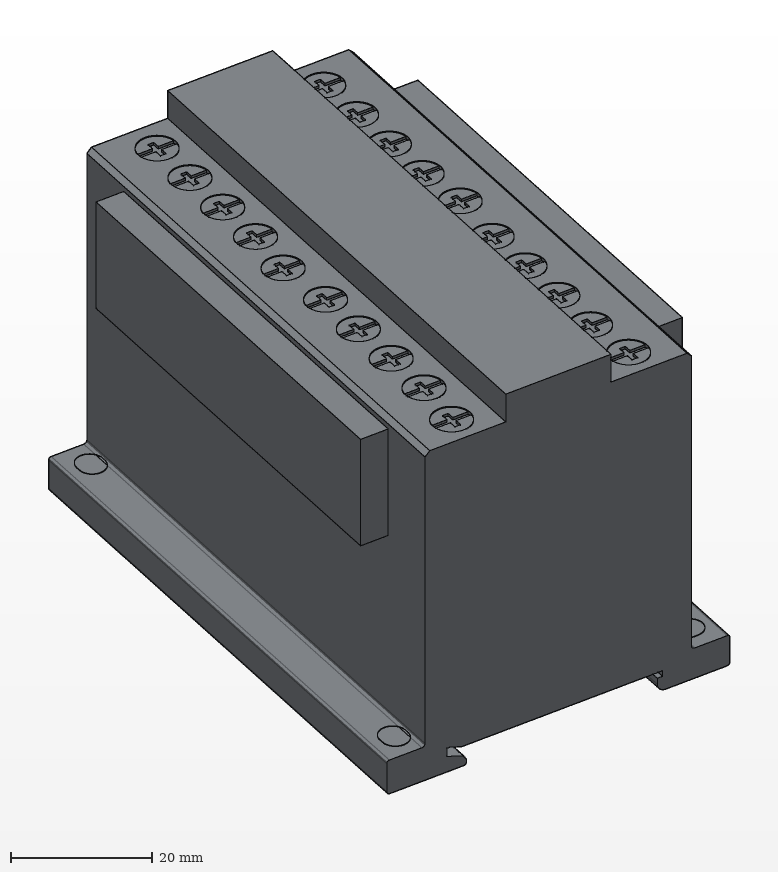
import cadquery as cq

LENGTH = 88.0
HEIGHT = 62.0
FOOT_WIDTH = 58.0
BODY_WIDTH = 45.1
BODY_TOP = 57.2
BODY_BOTTOM = 3.4
RIDGE_WIDTH = 17.8
TOP_EDGE_CHAMFER = 0.8

FRONT_FOOT_HEIGHT = 5.9
BACK_FOOT_HEIGHT = 5.3
FOOT_ROOT_RADIUS = 0.5
FOOT_EDGE_RADIUS = 0.4
FOOT_BOTTOM_RADIUS = 0.5

HOOK_WALL_Y = 17.6
HOOK_TIP_Y = 16.7
HOOK_TOP = 2.5
HOOK_TIP_RADIUS = 1.4

NOTCH_MOUTH_Y = -16.4
NOTCH_PEAK_Y = -18.3
NOTCH_WALL_Y = -18.8
NOTCH_TOP = 4.1
NOTCH_BOTTOM = 2.7
LATCH_SHOULDER_Y = -16.0
LATCH_SHOULDER_Z = 1.8
LATCH_TIP_Y = -15.5
LATCH_TIP_Z = 0.9

COVER_LENGTH = 68.8
COVER_THICKNESS = 4.7
COVER_BOTTOM = 37.0
COVER_TOP = 55.5

SCREWS_PER_GROUP = 5
SCREW_PITCH = 8.5
GROUP_STARTS = (-38.7, 5.1)
SCREW_ROW_Y = 14.1
LAST_SCREW_SHIFT = 0.9
SCREW_DIAMETER = 6.25
SCREW_RECESS_DEPTH = 0.2
SLOT_WIDTH = 0.9
CROSS_SLOT_WIDTH = 1.0
SLOT_DEPTH = 0.4
CROSS_SLOT_LENGTH = 3.3

OBLONG_LENGTH = 5.0
OBLONG_WIDTH = 4.3
OBLONG_X = 39.4
OBLONG_Y = 24.8
OBLONG_DEPTH = 0.1

CENTRE_RECESS_DIAMETER = 2.2
CENTRE_RECESS_Z = 41.0
FOOT_HOLE_Y = 20.7
FOOT_HOLE_Z = 2.0
FOOT_HOLE_DIAMETER = 2.1
FOOT_HOLE_CORE_DIAMETER = 1.2
END_RECESS_DEPTH = 0.1
FOOT_HOLE_CORE_DEPTH = 0.2


def edge_along_x(solid, y, z):
    """Select the edge parallel to X that lies at the given Y and Z."""
    return solid.edges("|X").edges(cq.selectors.NearestToPointSelector((0, y, z)))


def housing_block():
    """Constant cross-section of the housing, extruded along X."""
    foot_y = FOOT_WIDTH / 2
    body_y = BODY_WIDTH / 2
    ridge_y = RIDGE_WIDTH / 2
    outline = [
        (ridge_y, HEIGHT),
        (ridge_y, BODY_TOP),
        (body_y, BODY_TOP),
        (body_y, BACK_FOOT_HEIGHT),
        (foot_y, BACK_FOOT_HEIGHT),
        (foot_y, 0),
        (HOOK_TIP_Y, 0),
        (HOOK_TIP_Y, HOOK_TOP),
        (HOOK_WALL_Y, HOOK_TOP),
        (HOOK_WALL_Y, BODY_BOTTOM),
        (NOTCH_MOUTH_Y, BODY_BOTTOM),
        (NOTCH_PEAK_Y, NOTCH_TOP),
        (NOTCH_WALL_Y, NOTCH_TOP),
        (NOTCH_WALL_Y, NOTCH_BOTTOM),
        (LATCH_SHOULDER_Y, LATCH_SHOULDER_Z),
        (LATCH_TIP_Y, LATCH_TIP_Z),
        (LATCH_TIP_Y, 0),
        (-foot_y, 0),
        (-foot_y, FRONT_FOOT_HEIGHT),
        (-body_y, FRONT_FOOT_HEIGHT),
        (-body_y, BODY_TOP),
        (-ridge_y, BODY_TOP),
        (-ridge_y, HEIGHT),
    ]
    block = cq.Workplane("YZ").polyline(outline).close().extrude(LENGTH / 2, both=True)

    for y in (-body_y, body_y):
        block = edge_along_x(block, y, BODY_TOP).chamfer(TOP_EDGE_CHAMFER)
    rounded_edges = [
        (body_y, BACK_FOOT_HEIGHT, FOOT_ROOT_RADIUS),
        (-body_y, FRONT_FOOT_HEIGHT, FOOT_ROOT_RADIUS),
        (foot_y, BACK_FOOT_HEIGHT, FOOT_EDGE_RADIUS),
        (-foot_y, FRONT_FOOT_HEIGHT, FOOT_EDGE_RADIUS),
        (foot_y, 0, FOOT_BOTTOM_RADIUS),
        (-foot_y, 0, FOOT_BOTTOM_RADIUS),
        (LATCH_TIP_Y, 0, FOOT_BOTTOM_RADIUS),
        (HOOK_TIP_Y, 0, HOOK_TIP_RADIUS),
    ]
    for y, z, radius in rounded_edges:
        block = edge_along_x(block, y, z).fillet(radius)
    return block


def screw_places():
    """Screw centres; the last screw of each group sits further out."""
    places = []
    for side in (-1, 1):
        for start in GROUP_STARTS:
            for index in range(SCREWS_PER_GROUP):
                is_last = index == SCREWS_PER_GROUP - 1
                y = SCREW_ROW_Y + (LAST_SCREW_SHIFT if is_last else 0)
                places.append((start + index * SCREW_PITCH, side * y))
    return places


def cut_screw_heads(solid):
    """Round recess with a full-width slot and a short cross slot in its floor."""
    places = screw_places()
    floor_z = BODY_TOP - SCREW_RECESS_DEPTH
    top = cq.Workplane(origin=(0, 0, BODY_TOP)).pushPoints(places)
    floor = cq.Workplane(origin=(0, 0, floor_z)).pushPoints(places)
    recesses = top.circle(SCREW_DIAMETER / 2).extrude(-SCREW_RECESS_DEPTH)
    disks = floor.circle(SCREW_DIAMETER / 2).extrude(-SLOT_DEPTH)
    long_slots = floor.rect(SLOT_WIDTH, SCREW_DIAMETER).extrude(-SLOT_DEPTH).intersect(disks)
    cross_slots = floor.rect(CROSS_SLOT_LENGTH, CROSS_SLOT_WIDTH).extrude(-SLOT_DEPTH)
    return solid.cut(recesses).cut(long_slots).cut(cross_slots)


def cut_foot_recesses(solid):
    """Two oblongs along X in the -Y foot and one along Y in the +Y foot."""
    front = (
        cq.Workplane(origin=(0, -OBLONG_Y, FRONT_FOOT_HEIGHT))
        .pushPoints([(-OBLONG_X, 0), (OBLONG_X, 0)])
        .slot2D(OBLONG_LENGTH, OBLONG_WIDTH)
        .extrude(-OBLONG_DEPTH)
    )
    back = (
        cq.Workplane(origin=(OBLONG_X, OBLONG_Y, BACK_FOOT_HEIGHT))
        .slot2D(OBLONG_LENGTH, OBLONG_WIDTH, 90)
        .extrude(-OBLONG_DEPTH)
    )
    return solid.cut(front).cut(back)


def end_recess(y, z, diameter, depth):
    """Cylinder that enters the -X end face."""
    plane = cq.Workplane("YZ", origin=(-LENGTH / 2, y, z))
    return plane.circle(diameter / 2).extrude(depth)


def cut_end_recesses(solid):
    """Centre recess, and a stepped recess in each foot."""
    solid = solid.cut(end_recess(0, CENTRE_RECESS_Z, CENTRE_RECESS_DIAMETER, END_RECESS_DEPTH))
    for y in (-FOOT_HOLE_Y, FOOT_HOLE_Y):
        solid = solid.cut(end_recess(y, FOOT_HOLE_Z, FOOT_HOLE_DIAMETER, END_RECESS_DEPTH))
        solid = solid.cut(end_recess(y, FOOT_HOLE_Z, FOOT_HOLE_CORE_DIAMETER, FOOT_HOLE_CORE_DEPTH))
    return solid


def terminal_cover(side):
    """Plain bar against the long wall on the given side (+1 or -1) of Y."""
    height = COVER_TOP - COVER_BOTTOM
    centre_y = side * (BODY_WIDTH + COVER_THICKNESS) / 2
    return cq.Workplane().box(COVER_LENGTH, COVER_THICKNESS, height).translate(
        (0, centre_y, COVER_BOTTOM + height / 2)
    )


housing = cut_end_recesses(cut_foot_recesses(cut_screw_heads(housing_block())))
covers = [terminal_cover(side).val() for side in (-1, 1)]

result = cq.Compound.makeCompound([housing.val(), *covers])